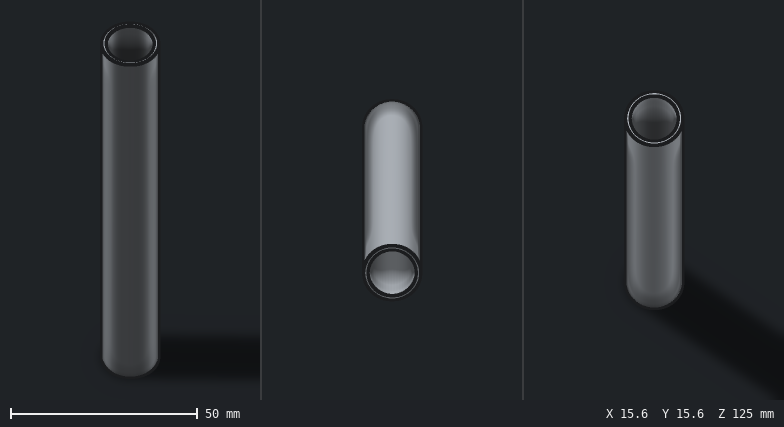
import cadquery as cq

outer_diameter = 15.62
bore_diameter = 12.6
length = 125.0
rim_chamfer = 0.3


def tube():
    """Plain round tube standing on the XY plane, with a through bore along Z."""
    return cq.Workplane("XY").circle(outer_diameter / 2).circle(bore_diameter / 2).extrude(length)


def chamfer_rims(body):
    """Chamfer the outer and inner rims at both ends."""
    return body.faces("<Z or >Z").edges().chamfer(rim_chamfer)


result = chamfer_rims(tube())